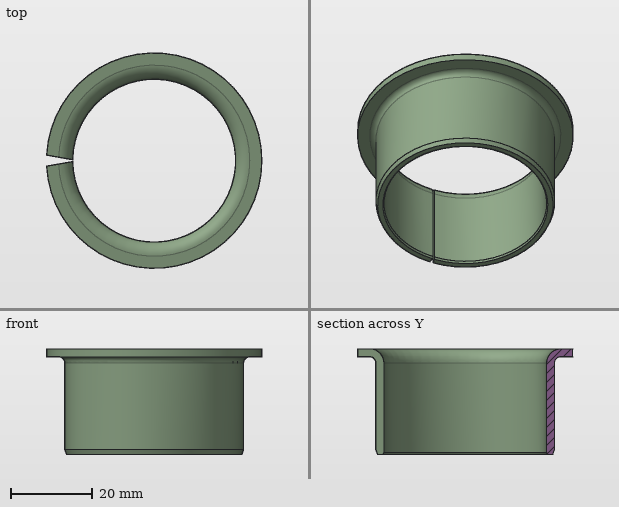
import cadquery as cq
import math

height = 26.0
bore_diameter = 40.0
wall = 2.0
flange_diameter = 53.0

outer_bend_radius = 1.5
inner_bend_radius = outer_bend_radius + wall

lead_in_height = 1.2
lead_in_angle = 20.0
bore_chamfer_height = 0.5
bore_chamfer_angle = 30.0

split_width_at_bore = 0.4
split_flank_angle = 10.0
split_overrun = 2.0

bore_radius = bore_diameter / 2
sleeve_radius = bore_radius + wall
flange_radius = flange_diameter / 2
lead_in_depth = lead_in_height * math.tan(math.radians(lead_in_angle))
bore_chamfer_depth = bore_chamfer_height * math.tan(math.radians(bore_chamfer_angle))
bend_centre_radius = sleeve_radius + outer_bend_radius
bend_centre_z = height - inner_bend_radius


def bend_midpoint(radius):
    """Middle point (radial, Z) of a quarter arc of the bend."""
    offset = radius * math.cos(math.radians(45))
    return bend_centre_radius - offset, bend_centre_z + offset


def flanged_sleeve():
    """Revolve the wall section, from the lower end up and out to the flange rim."""
    section = (
        cq.Workplane("XZ")
        .moveTo(bore_radius + bore_chamfer_depth, 0)
        .lineTo(sleeve_radius - lead_in_depth, 0)
        .lineTo(sleeve_radius, lead_in_height)
        .lineTo(sleeve_radius, bend_centre_z)
        .threePointArc(bend_midpoint(outer_bend_radius), (bend_centre_radius, height - wall))
        .lineTo(flange_radius, height - wall)
        .lineTo(flange_radius, height)
        .lineTo(bend_centre_radius, height)
        .threePointArc(bend_midpoint(inner_bend_radius), (bore_radius, bend_centre_z))
        .lineTo(bore_radius, bore_chamfer_height)
        .close()
    )
    return section.revolve(360, (0, 0, 0), (0, 1, 0)).rotate((0, 0, 0), (0, 0, 1), 180)


def split_wedge():
    """Full-height wedge that opens the ring, with its point inside the bore."""
    flank_slope = math.tan(math.radians(split_flank_angle))
    tip_x = -bore_radius + split_width_at_bore / 2 / flank_slope
    mouth_x = -flange_radius - split_overrun
    mouth_half_width = (tip_x - mouth_x) * flank_slope
    return (
        cq.Workplane("XY")
        .moveTo(tip_x, 0)
        .lineTo(mouth_x, mouth_half_width)
        .lineTo(mouth_x, -mouth_half_width)
        .close()
        .extrude(height)
    )


result = flanged_sleeve().cut(split_wedge())